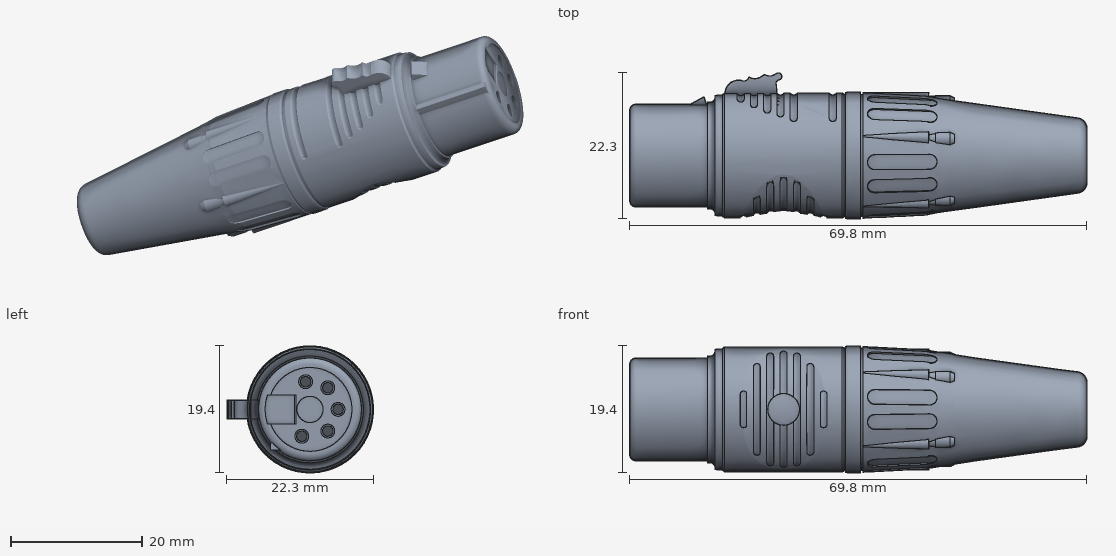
import cadquery as cq
import math


length = 69.8
nose_radius = 7.85
nose_end = 11.9
nose_fillet = 1.0
collar_radius = 8.15
collar_flare_start = 12.3
collar_flare_radius = 8.7
collar_end = 13.0
flange_edge_radius = 9.15
flange_edge_end = 13.5
flange_radius = 9.24
flange_end = 14.15
body_radius = 9.55
body_chamfer = 0.3
body_bevel_start = 32.4
body_end = 32.7
body_end_radius = 9.42
gap_radius = 9.35
ring_start = 32.95
ring_edge_radius = 9.6
ring_edge_end = 33.27
ring_radius = 9.7
ring_end = 35.2
sleeve_start = 35.6
sleeve_start_radius = 9.6
sleeve_end = 45.6
sleeve_end_radius = 9.1
sleeve_lip = 0.4
boot_start_radius = 9.0
boot_shoulder = 49.6
boot_shoulder_radius = 8.36
boot_end_radius = 5.75
boot_rounding = 1.45

insert_radius = 6.4
insert_depth = 0.2
socket_circle_radius = 4.28
socket_angles = (99, 50.5, 0, -50.5, -107)
socket_radius = 0.8
socket_mouth_radius = 1.05
socket_mouth_depth = 0.25
socket_depth = 10.0
latch_window_half_width = 2.2
latch_window_inner_y = 2.1
latch_window_depth = 0.5
latch_window_ledge_width = 0.3
latch_window_ledge_depth = 0.35
badge_radius = 2.0
badge_depth = 0.35

key_inner_y = 4.0
key_outer_y = 6.05
key_bottom_z = -6.2
key_height = 1.1
key_start = 0.4

latch_width = 2.86
lever_root_y = 8.5
lever_front_x = 14.55
lever_front_y = 9.6
lever_brow_middle = (15.2, 10.95)
lever_brow_start_x = 16.4
lever_brow_end_x = 17.0
lever_brow_y = 11.5
lever_first_dip = (17.6, 11.4)
lever_first_ridge = (18.2, 12.0)
lever_second_dip = (19.1, 11.75)
lever_second_ridge = ((20.0, 12.0), (20.6, 12.4))
lever_third_dip = (21.3, 12.15)
lever_tip_start = (22.0, 12.3)
lever_tip_crest = (22.55, 12.61)
lever_tip_nose = (23.25, 12.1)
lever_tip_underside = (22.9, 11.55)
lever_throat_middle = (22.4, 11.2)
lever_throat_end = (22.4, 10.8)
lever_back_x = 22.6
hook_start = 9.3
hook_end = 11.35
hook_top_y = 8.97
hook_root_y = 7.4

groove_width = 1.1
groove_depth = 0.3
groove_floor_radius = 0.65

pad_center_x = 23.5
pad_half_length = 6.6
pad_axis_y = 1.35
pad_waist_radius = 10.05
pad_end_radius = 10.95
pad_disc_depth = 0.32
pad_groove_pitch = 2.03
pad_groove_half_heights = (8.9, 8.6, 7.0, 2.8)
pad_disc_radius = 2.42

back_groove_pitch = 2.02
back_groove_first_x = 16.96
back_groove_limits_y = (8.15, 7.3, 6.47, 5.9, 5.2)
rear_groove_x = 31.0
rear_groove_limit_y = 5.2

grip_count = 5
grip_slot_offset_angle = 11.8
grip_slot_start = 36.3
grip_slot_end = 46.9
grip_slot_width = 2.3
grip_slot_depth = 0.25
grip_slot_floor_end_radius = 8.75
ramp_base_radius = 0.95
ramp_tip_radius = 0.3
ramp_tip_axis_radius = 9.32
ramp_base_axis_radius = 8.7
lug_axis_radius = 8.05
lug_radius = 1.08
lug_neck_radius = 1.0
lug_start = 46.7
lug_bevel_length = 0.7
lug_bevel_height = 0.35

reach = 2 * body_radius


def x_cylinder(radius, start, end, y=0.0):
    """Cylinder parallel to X between two stations."""
    return cq.Workplane("YZ", origin=(start, y, 0)).circle(radius).extrude(end - start)


def block(start, end, y_low, y_high, half_height):
    """Box symmetric about Z = 0."""
    return cq.Workplane("XY").box(
        end - start, y_high - y_low, 2 * half_height, centered=(False, False, True)
    ).translate((start, y_low, 0))


def about_axis(shape, angle):
    """Turn a shape from the -Y side towards +Z by an angle in degrees."""
    return shape.rotate((0, 0, 0), (1, 0, 0), -angle)


def cut_all(part, cutters):
    """Cut several shapes away in one operation."""
    return cq.Workplane(part.val().cut(*[cutter.val() for cutter in cutters]))


def groove_ring(x, surface_radius, axis_y=0.0):
    """Torus that sinks a round-bottomed channel into a surface turned about a line parallel to X."""
    path_radius = surface_radius + groove_floor_radius - groove_depth
    return cq.Workplane(
        cq.Solid.makeTorus(path_radius, groove_floor_radius, cq.Vector(x, axis_y, 0), cq.Vector(1, 0, 0))
    )


def make_barrel():
    nose_arc_offset = nose_fillet * (1 - math.sqrt(0.5))

    flare_length = collar_end - collar_flare_start
    flare_rise = collar_flare_radius - collar_radius
    flare_arc_radius = (flare_length**2 + flare_rise**2) / (2 * flare_rise)

    arc_start_x = length - boot_rounding
    boot_slope = math.atan2(boot_shoulder_radius - boot_end_radius, arc_start_x - boot_shoulder)
    boot_arc_radius = boot_rounding / (1 - math.sin(boot_slope))
    arc_center_x = length - boot_arc_radius
    arc_center_r = boot_end_radius - boot_arc_radius * math.cos(boot_slope)
    arc_middle_angle = (math.pi / 2 - boot_slope) / 2
    arc_middle = (
        arc_center_x + boot_arc_radius * math.cos(arc_middle_angle),
        arc_center_r + boot_arc_radius * math.sin(arc_middle_angle),
    )

    profile = (
        cq.Workplane("XY")
        .moveTo(0, 0)
        .lineTo(0, nose_radius - nose_fillet)
        .threePointArc((nose_arc_offset, nose_radius - nose_arc_offset), (nose_fillet, nose_radius))
        .lineTo(nose_end, nose_radius)
        .lineTo(nose_end, collar_radius)
        .lineTo(collar_flare_start, collar_radius)
        .radiusArc((collar_end, collar_flare_radius), -flare_arc_radius)
        .lineTo(collar_end, flange_edge_radius)
        .lineTo(flange_edge_end, flange_radius)
        .lineTo(flange_end, flange_radius)
        .lineTo(flange_end + body_chamfer, body_radius)
        .lineTo(body_bevel_start, body_radius)
        .lineTo(body_end, body_end_radius)
        .lineTo(body_end, gap_radius)
        .lineTo(ring_start, gap_radius)
        .lineTo(ring_start, ring_edge_radius)
        .lineTo(ring_edge_end, ring_radius)
        .lineTo(ring_end, ring_radius)
        .lineTo(ring_end, gap_radius)
        .lineTo(sleeve_start, gap_radius)
        .lineTo(sleeve_start, sleeve_start_radius)
        .lineTo(sleeve_end - sleeve_lip, sleeve_end_radius)
        .lineTo(sleeve_end, boot_start_radius)
        .lineTo(boot_shoulder, boot_shoulder_radius)
        .lineTo(arc_start_x, boot_end_radius)
        .threePointArc(arc_middle, (length, arc_center_r))
        .lineTo(length, 0)
        .close()
    )
    return profile.revolve(360, (0, 0, 0), (1, 0, 0))


def cut_mating_face(part):
    part = part.cut(x_cylinder(insert_radius, 0, insert_depth))
    ledge_y = latch_window_inner_y + latch_window_ledge_width
    window = block(0, latch_window_ledge_depth, latch_window_inner_y, reach, latch_window_half_width)
    window = window.union(block(0, latch_window_depth, ledge_y, reach, latch_window_half_width))
    part = part.cut(window.intersect(x_cylinder(nose_radius - nose_fillet, 0, latch_window_depth)))
    part = part.cut(x_cylinder(badge_radius, 0, badge_depth))
    for angle in socket_angles:
        socket = x_cylinder(socket_radius, 0, socket_depth, y=-socket_circle_radius)
        mouth = x_cylinder(socket_mouth_radius, 0, insert_depth + socket_mouth_depth, y=-socket_circle_radius)
        part = part.cut(about_axis(socket.union(mouth), angle))
    return part


def make_key():
    middle_z = key_bottom_z + key_height / 2
    return block(key_start, nose_end, key_inner_y, key_outer_y, key_height / 2).translate((0, 0, middle_z))


def make_lever():
    outline = (
        cq.Workplane("XY", origin=(0, 0, -latch_width / 2))
        .moveTo(lever_front_x, lever_root_y)
        .lineTo(lever_front_x, lever_front_y)
        .threePointArc(lever_brow_middle, (lever_brow_start_x, lever_brow_y))
        .lineTo(lever_brow_end_x, lever_brow_y)
        .threePointArc(lever_first_dip, lever_first_ridge)
        .threePointArc(lever_second_dip, lever_second_ridge[0])
        .lineTo(*lever_second_ridge[1])
        .threePointArc(lever_third_dip, lever_tip_start)
        .lineTo(*lever_tip_crest)
        .threePointArc(lever_tip_nose, lever_tip_underside)
        .threePointArc(lever_throat_middle, lever_throat_end)
        .lineTo(lever_back_x, lever_root_y)
        .close()
    )
    return outline.extrude(latch_width)


def make_hook():
    outline = (
        cq.Workplane("XY", origin=(0, 0, -latch_width / 2))
        .moveTo(hook_start, hook_root_y)
        .lineTo(hook_start, nose_radius)
        .lineTo(hook_end, hook_top_y)
        .lineTo(nose_end, hook_root_y)
        .close()
    )
    return outline.extrude(latch_width)


def pad_core(depth):
    """Waisted solid of revolution whose skin lies `depth` below the pad surface."""
    left = pad_center_x - pad_half_length
    right = pad_center_x + pad_half_length
    profile = (
        cq.Workplane("XY")
        .moveTo(left, pad_axis_y)
        .lineTo(left, pad_axis_y - pad_end_radius + depth)
        .threePointArc(
            (pad_center_x, pad_axis_y - pad_waist_radius + depth),
            (right, pad_axis_y - pad_end_radius + depth),
        )
        .lineTo(right, pad_axis_y)
        .close()
    )
    return profile.revolve(360, (0, pad_axis_y, 0), (1, pad_axis_y, 0))


def pad_radius(x):
    """Radius of the pad surface about the pad axis at station `x`."""
    rise = pad_end_radius - pad_waist_radius
    arc_radius = (pad_half_length**2 + rise**2) / (2 * rise)
    return pad_waist_radius + arc_radius - math.sqrt(arc_radius**2 - (x - pad_center_x) ** 2)


def pad_groove(x, half_height):
    """Everything above the pad surface inside the groove outline, plus the round channel below it."""
    outline = cq.Workplane("XZ").center(x, 0).slot2D(2 * half_height, groove_width, 90).extrude(reach)
    return outline.cut(pad_core(0).cut(groove_ring(x, pad_radius(x), pad_axis_y)))


def cut_thumb_pad(part):
    left = pad_center_x - pad_half_length
    right = pad_center_x + pad_half_length
    part = part.cut(block(left, right, -reach, 0, reach).cut(pad_core(0)))
    disc = cq.Workplane("XZ").center(pad_center_x, 0).circle(pad_disc_radius).extrude(reach)
    part = part.cut(disc.cut(pad_core(pad_disc_depth)))
    last_step = len(pad_groove_half_heights) - 1
    grooves = [
        pad_groove(pad_center_x + step * pad_groove_pitch, pad_groove_half_heights[abs(step)])
        for step in range(-last_step, last_step + 1)
    ]
    return cut_all(part, grooves)


def back_groove(x, limit_y):
    """Round-ended groove that wraps the +Y side of the body down to `limit_y`."""
    slot_length = 2 * (reach - limit_y)
    outline = cq.Workplane("XY", origin=(0, 0, -reach)).center(x, reach).slot2D(slot_length, groove_width, 90)
    return outline.extrude(2 * reach).intersect(groove_ring(x, body_radius))


def cut_back_grooves(part):
    grooves = [back_groove(rear_groove_x, rear_groove_limit_y)]
    for step, limit_y in enumerate(back_groove_limits_y):
        grooves.append(back_groove(back_groove_first_x + step * back_groove_pitch, limit_y))
    return cut_all(part, grooves)


def sleeve_core():
    """Cone that forms the floor of the grip slots."""
    profile = (
        cq.Workplane("XY")
        .moveTo(sleeve_start, 0)
        .lineTo(sleeve_start, sleeve_start_radius - grip_slot_depth)
        .lineTo(grip_slot_end, grip_slot_floor_end_radius)
        .lineTo(grip_slot_end, 0)
        .close()
    )
    return profile.revolve(360, (0, 0, 0), (1, 0, 0))


def cut_grip_slots(part):
    slot_length = grip_slot_end - grip_slot_start
    slot_middle = (grip_slot_start + grip_slot_end) / 2
    slot = cq.Workplane("XZ").center(slot_middle, 0).slot2D(slot_length, grip_slot_width).extrude(reach)
    slot = slot.cut(sleeve_core())
    slots = []
    for index in range(grip_count):
        for side in (-1, 1):
            slots.append(about_axis(slot, index * 360 / grip_count + side * grip_slot_offset_angle))
    return cut_all(part, slots)


def make_ramp_and_lug():
    tip = cq.Vector(sleeve_start, -ramp_tip_axis_radius, 0)
    base = cq.Vector(sleeve_end, -ramp_base_axis_radius, 0)
    axis = base - tip
    ramp = cq.Workplane(cq.Solid.makeCone(ramp_tip_radius, ramp_base_radius, axis.Length, tip, axis))
    neck = x_cylinder(lug_neck_radius, sleeve_end - sleeve_lip, lug_start, y=-lug_axis_radius)
    lug = x_cylinder(lug_radius, lug_start, boot_shoulder, y=-lug_axis_radius)
    lug = lug.faces(">X").chamfer(lug_bevel_length, lug_bevel_height)
    return ramp.union(neck).union(lug)


def add_ramps_and_lugs(part):
    ramp_and_lug = make_ramp_and_lug()
    for index in range(grip_count):
        part = part.union(about_axis(ramp_and_lug, (index + 0.5) * 360 / grip_count))
    return part


part = make_barrel()
part = cut_mating_face(part)
part = cut_grip_slots(part)
part = add_ramps_and_lugs(part)
part = part.union(make_key())
part = cut_back_grooves(part)
part = part.union(make_lever(), clean=False).union(make_hook(), clean=False)
result = cut_thumb_pad(part)